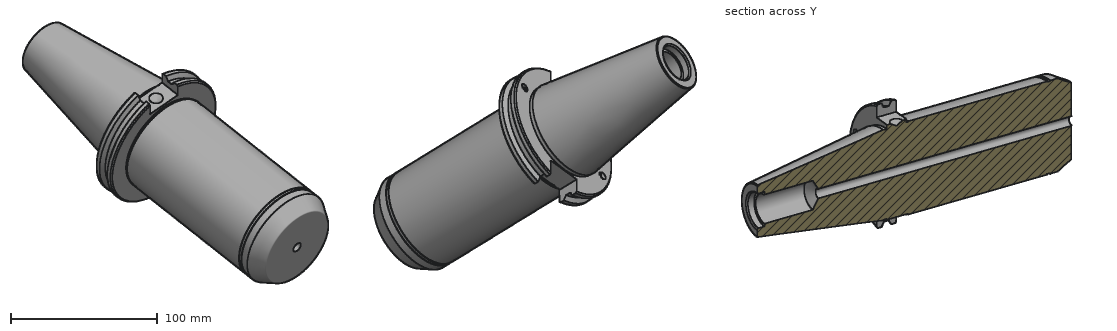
import cadquery as cq
import math

TOTAL_LENGTH = 254.0
TAPER_RATIO = 7 / 24
GAUGE_DIAMETER = 69.85
GAUGE_X = 101.6
SMALL_END_DIAMETER = GAUGE_DIAMETER - TAPER_RATIO * GAUGE_X
SMALL_END_CHAMFER = 0.6
NECK_DIAMETER = 69.25
NECK_X = 102.9

FLANGE_DIAMETER = 98.3
FLANGE_START_X = GAUGE_X + 3.175
FLANGE_WIDTH = 15.875
FLANGE_END_X = FLANGE_START_X + FLANGE_WIDTH
FLANGE_MIDDLE_X = FLANGE_START_X + FLANGE_WIDTH / 2
FLANGE_CHAMFER = 1.0
GROOVE_FLOOR_DIAMETER = 91.3
GROOVE_FLOOR_WIDTH = 3.75
GROOVE_WALL_ANGLE = 30.0

SLOT_WIDTH = 25.9
UPPER_SLOT_FLOOR_Z = 37.8
LOWER_SLOT_FLOOR_Z = -35.3
DIMPLE_DIAMETER = 9.53
DRILL_POINT_ANGLE = 118.0

BODY_DIAMETER = 72.0
RELIEF_DIAMETER = 71.0
BODY_START_X = FLANGE_END_X + 1.35
RING_GROOVE_START_X = 234.3
RING_GROOVE_WIDTH = 2.3
NOSE_LENGTH = 11.4
NOSE_ANGLE = 30.0
NOSE_START_X = TOTAL_LENGTH - NOSE_LENGTH
NOSE_END_DIAMETER = BODY_DIAMETER - 2 * NOSE_LENGTH * math.tan(math.radians(NOSE_ANGLE))
NOSE_END_ROUND = 1.0

COUNTERBORE_DIAMETER = 26.2
COUNTERBORE_CHAMFER = 1.05
COUNTERBORE_DEPTH = 6.0
THREAD_BORE_DIAMETER = 21.97
THREAD_BORE_DEPTH = 45.0
THROUGH_HOLE_DIAMETER = 6.92

COOLANT_RADIUS = 42.0
COOLANT_POSITION_ANGLE = 20.0
COOLANT_SLANT_ANGLE = 30.0
COOLANT_MOUTH_DIAMETER = 5.0
COOLANT_MOUTH_DEPTH = 2.0
COOLANT_HOLE_DIAMETER = 4.13
COOLANT_HOLE_DEPTH = 4.0

CUT_CLEARANCE = 5.0


def drill_point_length(diameter):
    """Height of the cone a drill leaves at the end of a hole."""
    return diameter / 2 / math.tan(math.radians(DRILL_POINT_ANGLE / 2))


def revolve_about_x(points):
    """Turn a closed (x, radius) outline about the X axis."""
    return cq.Workplane("XY").polyline(points).close().revolve(360, (0, 0, 0), (1, 0, 0))


def make_shank():
    small_radius = SMALL_END_DIAMETER / 2
    chamfered_radius = small_radius + TAPER_RATIO / 2 * SMALL_END_CHAMFER
    return revolve_about_x([
        (0, 0),
        (0, small_radius - SMALL_END_CHAMFER),
        (SMALL_END_CHAMFER, chamfered_radius),
        (GAUGE_X, GAUGE_DIAMETER / 2),
        (NECK_X, NECK_DIAMETER / 2),
        (FLANGE_START_X, NECK_DIAMETER / 2),
        (FLANGE_START_X, 0),
    ])


def make_flange():
    outer_radius = FLANGE_DIAMETER / 2
    floor_radius = GROOVE_FLOOR_DIAMETER / 2
    floor_half = GROOVE_FLOOR_WIDTH / 2
    wall_run = (outer_radius - floor_radius) * math.tan(math.radians(GROOVE_WALL_ANGLE))
    mouth_half = floor_half + wall_run
    return revolve_about_x([
        (FLANGE_START_X, 0),
        (FLANGE_START_X, outer_radius - FLANGE_CHAMFER),
        (FLANGE_START_X + FLANGE_CHAMFER, outer_radius),
        (FLANGE_MIDDLE_X - mouth_half, outer_radius),
        (FLANGE_MIDDLE_X - floor_half, floor_radius),
        (FLANGE_MIDDLE_X + floor_half, floor_radius),
        (FLANGE_MIDDLE_X + mouth_half, outer_radius),
        (FLANGE_END_X - FLANGE_CHAMFER, outer_radius),
        (FLANGE_END_X, outer_radius - FLANGE_CHAMFER),
        (FLANGE_END_X, 0),
    ])


def make_slot(floor_z):
    """Block that cuts one drive slot across the full width of the flange."""
    height = FLANGE_DIAMETER / 2 + CUT_CLEARANCE - abs(floor_z)
    middle_z = math.copysign(abs(floor_z) + height / 2, floor_z)
    return (
        cq.Workplane("XY")
        .box(FLANGE_WIDTH, SLOT_WIDTH, height)
        .translate((FLANGE_MIDDLE_X, 0, middle_z))
    )


def make_dimple():
    """Conical spot-drilled recess, centered in the upper slot floor."""
    cone_height = drill_point_length(DIMPLE_DIAMETER)
    tip = cq.Vector(FLANGE_MIDDLE_X, 0, UPPER_SLOT_FLOOR_Z - cone_height)
    return cq.Solid.makeCone(0, DIMPLE_DIAMETER / 2, cone_height, tip, cq.Vector(0, 0, 1))


def make_body():
    body_radius = BODY_DIAMETER / 2
    relief_radius = RELIEF_DIAMETER / 2
    ring_groove_end_x = RING_GROOVE_START_X + RING_GROOVE_WIDTH
    body = revolve_about_x([
        (FLANGE_END_X, 0),
        (FLANGE_END_X, relief_radius),
        (BODY_START_X, relief_radius),
        (BODY_START_X, body_radius),
        (RING_GROOVE_START_X, body_radius),
        (RING_GROOVE_START_X, relief_radius),
        (ring_groove_end_x, relief_radius),
        (ring_groove_end_x, body_radius),
        (NOSE_START_X, body_radius),
        (TOTAL_LENGTH, NOSE_END_DIAMETER / 2),
        (TOTAL_LENGTH, 0),
    ])
    return body.faces(">X").edges().fillet(NOSE_END_ROUND)


def make_bore():
    counterbore_radius = COUNTERBORE_DIAMETER / 2
    thread_radius = THREAD_BORE_DIAMETER / 2
    through_radius = THROUGH_HOLE_DIAMETER / 2
    cone_length = drill_point_length(THREAD_BORE_DIAMETER) - drill_point_length(THROUGH_HOLE_DIAMETER)
    return revolve_about_x([
        (0, 0),
        (0, counterbore_radius + COUNTERBORE_CHAMFER),
        (COUNTERBORE_CHAMFER, counterbore_radius),
        (COUNTERBORE_DEPTH, counterbore_radius),
        (COUNTERBORE_DEPTH, thread_radius),
        (THREAD_BORE_DEPTH, thread_radius),
        (THREAD_BORE_DEPTH + cone_length, through_radius),
        (TOTAL_LENGTH, through_radius),
        (TOTAL_LENGTH, 0),
    ])


def make_coolant_hole(turn):
    """Stepped, slanted hole with a drill point, placed by turning about the X axis."""
    mouth_radius = COOLANT_MOUTH_DIAMETER / 2
    hole_radius = COOLANT_HOLE_DIAMETER / 2
    hole = revolve_about_x([
        (-CUT_CLEARANCE, 0),
        (-CUT_CLEARANCE, mouth_radius),
        (COOLANT_MOUTH_DEPTH, mouth_radius),
        (COOLANT_MOUTH_DEPTH, hole_radius),
        (COOLANT_HOLE_DEPTH, hole_radius),
        (COOLANT_HOLE_DEPTH + drill_point_length(COOLANT_HOLE_DIAMETER), 0),
    ])
    return (
        hole.rotate((0, 0, 0), (0, 0, 1), -COOLANT_SLANT_ANGLE)
        .translate((FLANGE_START_X, COOLANT_RADIUS, 0))
        .rotate((0, 0, 0), (1, 0, 0), turn)
    )


result = make_shank().union(make_flange()).union(make_body())
for slot_floor_z in (UPPER_SLOT_FLOOR_Z, LOWER_SLOT_FLOOR_Z):
    result = result.cut(make_slot(slot_floor_z))
result = result.cut(make_dimple())
result = result.cut(make_bore())
for half_turn in (0, 180):
    result = result.cut(make_coolant_hole(COOLANT_POSITION_ANGLE + half_turn))